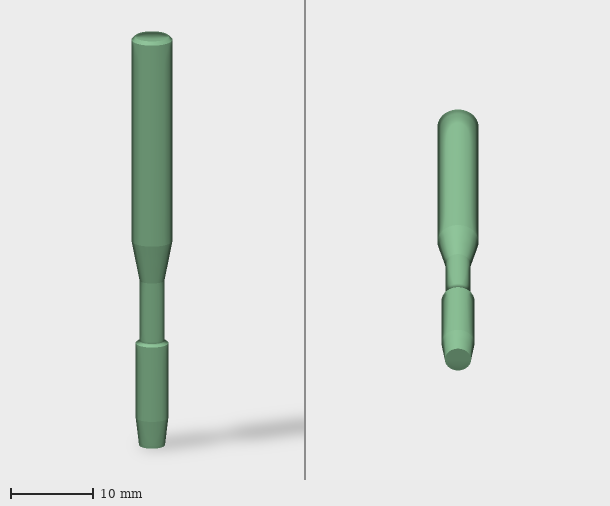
import cadquery as cq

total_length = 52.0

tip_diameter = 3.15
tip_length = 3.55
head_diameter = 4.0
head_length = 13.0

shoulder_rise = 0.3
neck_diameter = 3.05
neck_top = 21.0
cone_top = 26.0
shank_diameter = 5.0
top_chamfer = 0.4


def revolve_about_z(outline):
    """Turn a closed outline of (radius, height) points about the Z axis."""
    return cq.Workplane("XZ").polyline(outline).close().revolve(360, (0, 0, 0), (0, 1, 0))


def make_cutting_head():
    """Cylinder that narrows to a flat tip at the bottom."""
    return revolve_about_z([
        (0, 0),
        (tip_diameter / 2, 0),
        (head_diameter / 2, tip_length),
        (head_diameter / 2, head_length),
        (0, head_length),
    ])


def make_shank():
    """Shoulder on the head tapering in to a thin neck, which widens through a cone to the grip."""
    shank = revolve_about_z([
        (0, head_length),
        (head_diameter / 2, head_length),
        (neck_diameter / 2, head_length + shoulder_rise),
        (neck_diameter / 2, neck_top),
        (shank_diameter / 2, cone_top),
        (shank_diameter / 2, total_length),
        (0, total_length),
    ])
    return shank.faces(">Z").chamfer(top_chamfer)


cutting_head = make_cutting_head()
shank = make_shank()

result = cq.Compound.makeCompound([cutting_head.val(), shank.val()])